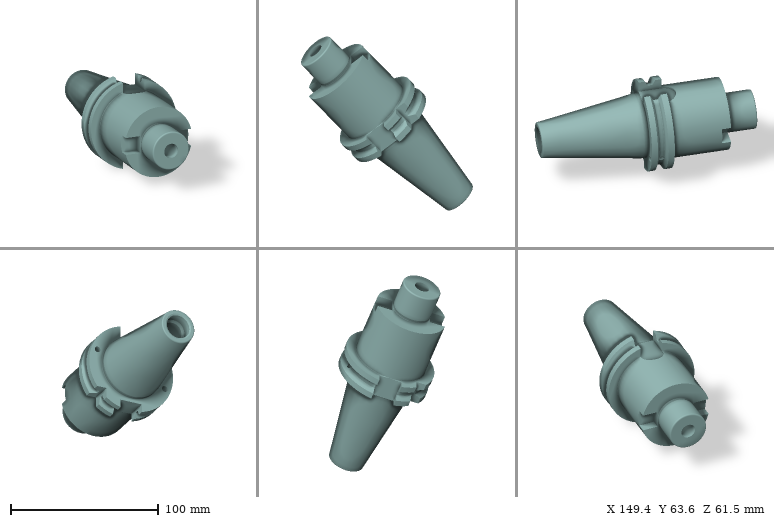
import cadquery as cq
import math


GAUGE_DIA = 44.45
TAPER_RATIO = 7 / 24
TAPER_LENGTH = 68.4
SHANK_EDGE = 1.0
NECK_DIA = 44.25
GAUGE_LAND_END = 0.6
NECK_START = 1.3
NECK_FILLET = 0.5

FLANGE_DIA = 63.55
FLANGE_START = 3.2
FLANGE_END = 19.1
GROOVE_CENTRE = 11.1
GROOVE_ROOT_DIA = 56.25
GROOVE_ROOT_WIDTH = 3.2
GROOVE_ROOT_FILLET = 0.6
GROOVE_SIDE_ANGLE = 30.0

SLOT_WIDTH = 16.1
UPPER_SLOT_HEIGHT = 22.8
LOWER_SLOT_HEIGHT = 25.0
NOTCH_Y = 18.7
NOTCH_Z = 18.6

BODY_DIA = 50.0
BODY_END = 60.0
BODY_FILLET = 0.5
KEY_SLOT_WIDTH = 12.1
KEY_SLOT_DEPTH = 6.3
KEY_SLOT_FLOOR = 13.5
PILOT_DIA = 27.0
PILOT_LENGTH = 21.0
PILOT_FILLET = 1.0
RELIEF_DIA = 26.4
RELIEF_FILLET = 0.5
RELIEF_START = 61.2
RELIEF_END = 62.1

MOUTH_DIA = 19.2
MOUTH_DEPTH = 0.6
COUNTERBORE_DIA = 17.0
COUNTERBORE_DEPTH = 8.0
DRAWBAR_DIA = 14.0
DRAWBAR_DEPTH = 32.0
DRILL_POINT_ANGLE = 118.0
THROUGH_DIA = 10.2

COOLANT_DIA = 4.2
COOLANT_RADIUS = 27.1
COOLANT_ANGLE = 20.0
COOLANT_STEP_RADIUS = 26.1
CROSS_HOLE_DIA = 3.0

SHANK_END = -TAPER_LENGTH
PILOT_END = BODY_END + PILOT_LENGTH


def taper_radius(x):
    return (GAUGE_DIA + TAPER_RATIO * x) / 2


def revolve_about_x(profile):
    return profile.close().revolve(360, (0, 0, 0), (1, 0, 0))


def box_between(x_range, y_range, z_range):
    sizes = [high - low for low, high in (x_range, y_range, z_range)]
    corner = (x_range[0], y_range[0], z_range[0])
    return cq.Workplane("XY").box(*sizes, centered=False).translate(corner)


def make_outside():
    """Turned outside of the arbor, solid through the middle."""
    flange_radius = FLANGE_DIA / 2
    root_radius = GROOVE_ROOT_DIA / 2
    body_radius = BODY_DIA / 2
    pilot_radius = PILOT_DIA / 2
    relief_radius = RELIEF_DIA / 2
    neck_radius = NECK_DIA / 2
    root_half = GROOVE_ROOT_WIDTH / 2
    side_angle = math.radians(GROOVE_SIDE_ANGLE)
    sine = math.sin(side_angle)
    cosine = math.cos(side_angle)
    mouth_half = root_half + (flange_radius - root_radius) * math.tan(side_angle)
    fillet_run = GROOVE_ROOT_FILLET * math.tan((math.pi / 2 - side_angle) / 2)

    profile = (
        cq.Workplane("XY")
        .moveTo(SHANK_END, 0)
        .lineTo(SHANK_END, taper_radius(SHANK_END) - SHANK_EDGE)
        .radiusArc((SHANK_END + SHANK_EDGE, taper_radius(SHANK_END + SHANK_EDGE)), SHANK_EDGE)
        .lineTo(0, GAUGE_DIA / 2)
        .lineTo(GAUGE_LAND_END, GAUGE_DIA / 2)
        .lineTo(NECK_START, neck_radius)
        .lineTo(FLANGE_START - NECK_FILLET, neck_radius)
        .radiusArc((FLANGE_START, neck_radius + NECK_FILLET), -NECK_FILLET)
        .lineTo(FLANGE_START, flange_radius)
        .lineTo(GROOVE_CENTRE - mouth_half, flange_radius)
        .lineTo(GROOVE_CENTRE - root_half - fillet_run * sine, root_radius + fillet_run * cosine)
        .radiusArc((GROOVE_CENTRE - root_half + fillet_run, root_radius), -GROOVE_ROOT_FILLET)
        .lineTo(GROOVE_CENTRE + root_half - fillet_run, root_radius)
        .radiusArc(
            (GROOVE_CENTRE + root_half + fillet_run * sine, root_radius + fillet_run * cosine),
            -GROOVE_ROOT_FILLET,
        )
        .lineTo(GROOVE_CENTRE + mouth_half, flange_radius)
        .lineTo(FLANGE_END, flange_radius)
        .lineTo(FLANGE_END, body_radius + BODY_FILLET)
        .radiusArc((FLANGE_END + BODY_FILLET, body_radius), -BODY_FILLET)
        .lineTo(BODY_END, body_radius)
        .lineTo(BODY_END, relief_radius + RELIEF_FILLET)
        .radiusArc((BODY_END + RELIEF_FILLET, relief_radius), -RELIEF_FILLET)
        .lineTo(RELIEF_START, relief_radius)
        .lineTo(RELIEF_END, pilot_radius)
        .lineTo(PILOT_END - PILOT_FILLET, pilot_radius)
        .radiusArc((PILOT_END, pilot_radius - PILOT_FILLET), PILOT_FILLET)
        .lineTo(PILOT_END, 0)
    )
    return revolve_about_x(profile)


def make_bore():
    """Stepped bore: drawbar thread side on the shank, screw hole through the pilot."""
    through_radius = THROUGH_DIA / 2
    drawbar_radius = DRAWBAR_DIA / 2
    counterbore_radius = COUNTERBORE_DIA / 2
    point_length = (drawbar_radius - through_radius) / math.tan(math.radians(DRILL_POINT_ANGLE / 2))
    profile = (
        cq.Workplane("XY")
        .moveTo(SHANK_END, 0)
        .lineTo(SHANK_END, MOUTH_DIA / 2)
        .lineTo(SHANK_END + MOUTH_DEPTH, counterbore_radius)
        .lineTo(SHANK_END + COUNTERBORE_DEPTH, counterbore_radius)
        .lineTo(SHANK_END + COUNTERBORE_DEPTH + counterbore_radius - drawbar_radius, drawbar_radius)
        .lineTo(SHANK_END + DRAWBAR_DEPTH, drawbar_radius)
        .lineTo(SHANK_END + DRAWBAR_DEPTH + point_length, through_radius)
        .lineTo(PILOT_END, through_radius)
        .lineTo(PILOT_END, 0)
    )
    return revolve_about_x(profile)


def make_drive_slot(floor_height):
    """Slot across the flange at +Z, ending in a half circle centred on the flange's rear face."""
    half_width = SLOT_WIDTH / 2
    return (
        cq.Workplane("XY", origin=(0, 0, floor_height))
        .moveTo(FLANGE_START, -half_width)
        .lineTo(FLANGE_END, -half_width)
        .threePointArc((FLANGE_END + half_width, 0), (FLANGE_END, half_width))
        .lineTo(FLANGE_START, half_width)
        .close()
        .extrude(FLANGE_DIA / 2)
    )


def make_notch():
    """Square corner notch through both flange rims, towards +Y and -Z."""
    reach = FLANGE_DIA / 2
    return box_between((FLANGE_START, FLANGE_END), (NOTCH_Y, reach), (-reach, -NOTCH_Z))


def make_key_slot(side):
    """Flat-floored key slot in the body face, on +Y (side 1) or -Y (side -1)."""
    half_width = KEY_SLOT_WIDTH / 2
    return box_between(
        (BODY_END - KEY_SLOT_DEPTH, BODY_END),
        sorted((side * KEY_SLOT_FLOOR, side * BODY_DIA / 2)),
        (-half_width, half_width),
    )


def make_coolant_hole():
    """Axial hole from the flange face into a stepped radial hole between the groove and the bore."""
    axial = (
        cq.Workplane("YZ", origin=(FLANGE_START, COOLANT_RADIUS, 0))
        .circle(COOLANT_DIA / 2)
        .extrude(GROOVE_CENTRE - FLANGE_START)
    )
    radial = cq.Workplane("XZ", origin=(GROOVE_CENTRE, 0, 0))
    wide = radial.workplane(offset=-COOLANT_STEP_RADIUS)
    wide = wide.circle(COOLANT_DIA / 2).extrude(COOLANT_STEP_RADIUS - FLANGE_DIA / 2)
    narrow = radial.circle(CROSS_HOLE_DIA / 2).extrude(-COOLANT_STEP_RADIUS)
    return axial.union(wide).union(narrow)


def turned(shape, angle):
    return shape.rotate((0, 0, 0), (1, 0, 0), angle)


result = make_outside().cut(make_bore())
result = result.cut(make_drive_slot(UPPER_SLOT_HEIGHT))
result = result.cut(turned(make_drive_slot(LOWER_SLOT_HEIGHT), 180))
result = result.cut(make_notch())
for side in (1, -1):
    result = result.cut(make_key_slot(side))
for turn in (0, 180):
    result = result.cut(turned(make_coolant_hole(), COOLANT_ANGLE + turn))